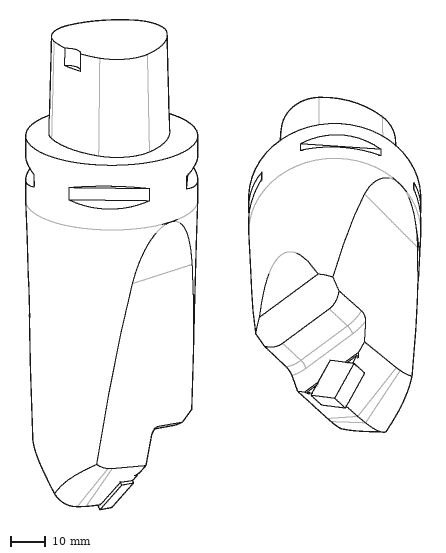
import cadquery as cq
import math


shank_length = 30.0
lobe_reach = 18.55
side_reach = 16.4
lobe_half_angle = 38.5
shank_inset = 0.75
lobe_directions = (90, 210, 330)

key_radius = 4.3
key_depth = 5.3
key_floor_y = -13.9

flange_radius = 25.0
flange_height = 20.0
notch_floor_distance = 22.1
notch_floor_height = 3.75
notch_side_angle = 30.0
notch_directions = (45, 135, 225, 315)

tip_z = -115.0
neck_cone_angle = 1.5
flat_angle = 8.0
flat_start_x = 21.5
flat_start_z = -37.0

relief_angle = 10.0
relief_corner_y = 20.5
relief_corner_z = -82.7

rake_angle = 6.0
insert_half_angle = 40.5
insert_side = 12.7
insert_thickness = 4.76

pocket_height = 25.9
pocket_ceiling_half_width = 8.9
pocket_roll_radius = 8.0
pocket_roll_angle = 50.0
pocket_corner_radius = 2.0

flank_start_y = -4.7
flank_start_z = -113.0
flank_angle = 9.0
flank_lean_angle = 3.5
heel_start_y = -10.26
heel_angle = 13.5
heel_arc_start_y = -13.75
heel_arc_radius = 15.0
heel_arc_end_angle = 60.0

clear = 40.0


def tan_deg(angle):
    return math.tan(math.radians(angle))


def sin_deg(angle):
    return math.sin(math.radians(angle))


def cos_deg(angle):
    return math.cos(math.radians(angle))


def polar(distance, angle):
    return (distance * cos_deg(angle), distance * sin_deg(angle))


def offset_point(center, distance, angle):
    dx, dy = polar(distance, angle)
    return (center[0] + dx, center[1] + dy)


def shank_outline(plane, inset):
    """Three lobe arcs joined by three flatter side arcs, all tangent."""
    center_ratio = sin_deg(lobe_half_angle) / sin_deg(60 - lobe_half_angle)
    radius_gap_ratio = center_ratio * sin_deg(60) / sin_deg(lobe_half_angle)
    lobe_center = (lobe_reach - side_reach) / (1 + center_ratio - radius_gap_ratio)
    lobe_radius = lobe_reach - lobe_center - inset
    side_middle = side_reach - inset

    outline = plane
    for index, direction in enumerate(lobe_directions):
        center = polar(lobe_center, direction)
        start = offset_point(center, lobe_radius, direction - lobe_half_angle)
        crest = offset_point(center, lobe_radius, direction)
        end = offset_point(center, lobe_radius, direction + lobe_half_angle)
        next_direction = direction + 120
        next_center = polar(lobe_center, next_direction)
        next_start = offset_point(next_center, lobe_radius, next_direction - lobe_half_angle)
        if index == 0:
            outline = outline.moveTo(*start)
        outline = outline.threePointArc(crest, end)
        outline = outline.threePointArc(polar(side_middle, direction + 60), next_start)
    return outline.close()


def make_shank():
    base = shank_outline(cq.Workplane("XY"), 0)
    both = shank_outline(base.workplane(offset=shank_length), shank_inset)
    shank = both.loft(ruled=True, combine=True)
    keyway = (
        cq.Workplane("XY")
        .workplane(offset=shank_length - key_depth)
        .center(0, key_floor_y - key_radius)
        .circle(key_radius)
        .extrude(clear)
    )
    return shank.cut(keyway)


def notch_cutter(direction):
    """Trapezoid groove across the flange, with a flat floor facing outward."""
    run = clear - notch_floor_distance
    half_floor = notch_floor_height / 2
    half_mouth = half_floor + run * tan_deg(notch_side_angle)
    return (
        cq.Workplane("XZ")
        .center(0, -flange_height / 2)
        .polyline([
            (notch_floor_distance, -half_floor),
            (clear, -half_mouth),
            (clear, half_mouth),
            (notch_floor_distance, half_floor),
        ])
        .close()
        .extrude(flange_radius, both=True)
        .rotate((0, 0, 0), (0, 0, 1), direction)
    )


def make_flange():
    flange = cq.Workplane("XY").circle(flange_radius).extrude(-flange_height)
    for direction in notch_directions:
        flange = flange.cut(notch_cutter(direction))
    return flange


def flat_cutter():
    """Removes the +X side of the neck: a sloping flat that curves out to the flange."""
    low_z = tip_z - clear
    low_x = flat_start_x - (flat_start_z - low_z) * tan_deg(flat_angle)
    return (
        cq.Workplane("XZ")
        .moveTo(low_x, low_z)
        .lineTo(flat_start_x, flat_start_z)
        .tangentArcPoint((flange_radius, -flange_height), relative=False)
        .lineTo(flange_radius + clear, -flange_height)
        .lineTo(flange_radius + clear, low_z)
        .close()
        .extrude(clear, both=True)
    )


def relief_cutter():
    """Removes the lower +Y edge: a shallow slope, then a 45 degree chamfer."""
    slope_rise = clear
    slope_top = (relief_corner_y + slope_rise * tan_deg(relief_angle), relief_corner_z + slope_rise)
    chamfer_end = (relief_corner_y - clear / 2, relief_corner_z - clear / 2)
    return (
        cq.Workplane("YZ")
        .polyline([
            slope_top,
            (relief_corner_y, relief_corner_z),
            chamfer_end,
            (relief_corner_y + clear, chamfer_end[1]),
            (relief_corner_y + clear, slope_top[1]),
        ])
        .close()
        .extrude(clear, both=True)
    )


def at_rake(shape):
    """Moves a shape built around the insert tip with its rake face upright into the tilted rake frame."""
    return shape.rotate((0, 0, 0), (1, 0, 0), -rake_angle).translate((0, 0, tip_z))


def pocket_cutter():
    """Chip pocket in front of the rake wall, with a ceiling that rolls up to both sides."""
    middle = (pocket_ceiling_half_width, pocket_height)
    roll_center = (middle[0], middle[1] + pocket_roll_radius)
    side = offset_point(roll_center, pocket_roll_radius, pocket_roll_angle - 90)
    roll_middle = offset_point(roll_center, pocket_roll_radius, pocket_roll_angle / 2 - 90)
    pocket = (
        cq.Workplane("XZ")
        .moveTo(-side[0], -clear)
        .lineTo(side[0], -clear)
        .lineTo(*side)
        .threePointArc(roll_middle, middle)
        .lineTo(-middle[0], middle[1])
        .tangentArcPoint((-side[0], side[1]), relative=False)
        .close()
        .extrude(-clear)
    )
    ceiling_corner = pocket.edges(cq.NearestToPointSelector((0, 0, pocket_height)))
    return at_rake(ceiling_corner.fillet(pocket_corner_radius))


def flank_cutter(side, profile, edge_direction):
    """Removes what lies under a YZ profile that slides from X = 0 along one cutting edge."""
    wire = profile.close().val()
    dx, dy, dz = edge_direction
    sweep = cq.Vector(side * dx, dy, dz) * clear
    return cq.Workplane(cq.Solid.extrudeLinear(wire, [], sweep))


def flank_profile():
    """Straight flank behind the insert."""
    left_y = clear / 2
    right_y = -clear
    left_z = flank_start_z - (left_y - flank_start_y) * tan_deg(flank_angle)
    right_z = flank_start_z + (flank_start_y - right_y) * tan_deg(flank_angle)
    floor_z = tip_z - 2 * clear
    return (
        cq.Workplane("YZ")
        .polyline([(left_y, left_z), (right_y, right_z), (right_y, floor_z), (left_y, floor_z)])
    )


def heel_profile():
    """Steeper line and a tangent arc that round the tip up to the -Y side."""
    heel_start_z = flank_start_z + (flank_start_y - heel_start_y) * tan_deg(flank_angle)
    left_y = clear / 2
    left_z = heel_start_z - (left_y - heel_start_y) * tan_deg(heel_angle)
    arc_start_z = heel_start_z + (heel_start_y - heel_arc_start_y) * tan_deg(heel_angle)
    arc_center = (
        heel_arc_start_y + heel_arc_radius * sin_deg(heel_angle),
        arc_start_z + heel_arc_radius * cos_deg(heel_angle),
    )
    arc_middle_angle = (heel_angle + heel_arc_end_angle) / 2
    arc_middle = offset_point(arc_center, heel_arc_radius, 270 - arc_middle_angle)
    arc_end = offset_point(arc_center, heel_arc_radius, 270 - heel_arc_end_angle)
    floor_z = tip_z - 2 * clear
    return (
        cq.Workplane("YZ")
        .moveTo(left_y, left_z)
        .lineTo(heel_arc_start_y, arc_start_z)
        .threePointArc(arc_middle, arc_end)
        .lineTo(arc_end[0] - clear, arc_end[1])
        .lineTo(arc_end[0] - clear, floor_z)
        .lineTo(left_y, floor_z)
    )


def make_insert():
    """Rhombic plate whose sharp corner is the tool tip."""
    half_width = insert_side * sin_deg(insert_half_angle)
    half_height = insert_side * cos_deg(insert_half_angle)
    plate = (
        cq.Workplane("XZ")
        .polyline([(0, 0), (half_width, half_height), (0, 2 * half_height), (-half_width, half_height)])
        .close()
        .extrude(insert_thickness)
    )
    return at_rake(plate)


def make_neck():
    neck_length = -flange_height - tip_z
    low_radius = flange_radius - neck_length * tan_deg(neck_cone_angle)
    neck = cq.Workplane(cq.Solid.makeCone(
        flange_radius, low_radius, neck_length, cq.Vector(0, 0, -flange_height), cq.Vector(0, 0, -1),
    ))
    side_cut = flat_cutter()
    neck = neck.cut(side_cut).cut(side_cut.mirror("YZ"))
    neck = neck.cut(relief_cutter()).cut(pocket_cutter())

    edge_x = sin_deg(insert_half_angle)
    edge_rise = cos_deg(insert_half_angle)
    flank_direction = (edge_x, edge_rise * sin_deg(flank_lean_angle), edge_rise * cos_deg(rake_angle))
    heel_direction = (edge_x, 0, edge_rise * cos_deg(rake_angle))
    for side in (-1, 1):
        neck = neck.cut(flank_cutter(side, flank_profile(), flank_direction))
        neck = neck.cut(flank_cutter(side, heel_profile(), heel_direction))
    return neck


insert = make_insert()
holder = make_shank().union(make_flange()).union(make_neck()).cut(insert)

result = cq.Compound.makeCompound([holder.val(), insert.val()])